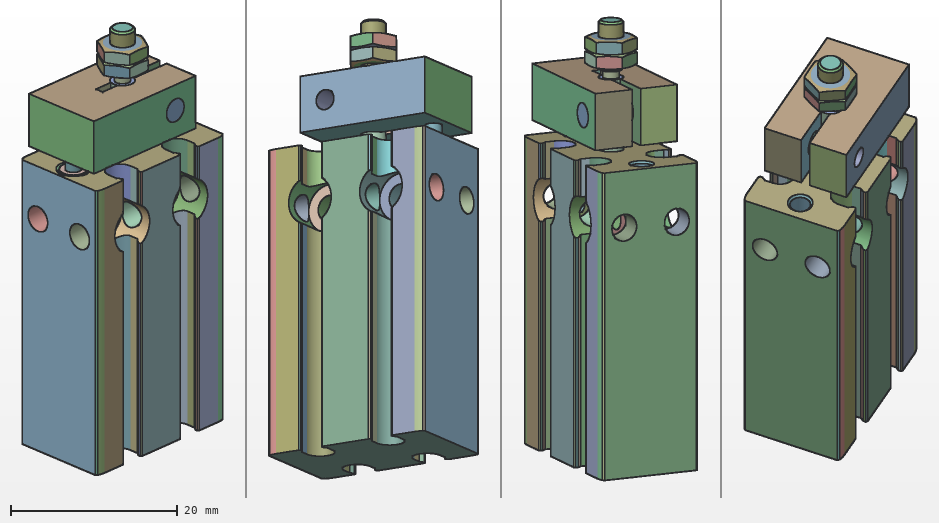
import cadquery as cq
import math

housing_width = 13.0
housing_length = 22.0
housing_height = 38.0
half_width = housing_width / 2
half_length = housing_length / 2
corner_chamfer = 0.2
end_round_length = 1.25
end_round_depth = 0.15

slot_spacing = 9.85
slot_mouth = 3.35
slot_lip_gap = 2.9
slot_diameter = 3.6
slot_lip_chamfer = 0.15
slot_lip_depth = 0.5
slot_lip_end_depth = 0.95
slot_round_depth = 2.15

mount_height = 31.0
mount_hole_diameter = 3.3
side_hole_spacing = 10.0
side_counterbore_diameter = 6.0
side_counterbore_depth = 4.65
end_hole_spacing = 7.0

rod_diameter = 3.0
rod_neck_diameter = 2.0
rod_chamfer = 0.25
rod_depth = 10.8
thread_bottom = 47.85
total_height = 54.0
guide_diameter = 2.0
guide_offset = 8.5
guide_depth = 10.8
guide_engagement = 3.5

groove_mouth_diameter = 4.15
groove_floor_diameter = 3.6
groove_core_diameter = 3.4
groove_depth = 0.3
port_mouth_diameter = 3.0
port_diameter = 2.5
port_depth = 2.7

block_gap = 1.9
block_width = 10.9
block_height = 7.0
block_front = -10.55
block_back = 7.0
block_bottom = housing_height + block_gap
block_top = block_bottom + block_height
slit_width = 1.15
slit_front = -4.0

screw_diameter = 3.0
screw_core_diameter = 2.5
screw_y = 3.5
screw_z = block_bottom + 3.6
screw_end_x = -1.6

nut_count = 2
nut_width = 5.5
nut_height = 1.8
nut_face_diameter = 4.75
nut_chamfer_height = 0.2
nuts_bottom = 48.45


def cylinder_x(diameter, start_x, end_x, y, z):
    """A cylinder along X."""
    circle = cq.Workplane("YZ", origin=(start_x, y, z)).circle(diameter / 2)
    return circle.extrude(end_x - start_x)


def cylinder_y(diameter, x, z):
    """A cylinder along Y that is as long as the housing."""
    circle = cq.Workplane("XZ", origin=(x, half_length, z)).circle(diameter / 2)
    return circle.extrude(housing_length)


def cylinder_z(diameter, bottom, top, y=0.0):
    """A cylinder along Z."""
    return cq.Workplane("XY", origin=(0, y, bottom)).circle(diameter / 2).extrude(top - bottom)


def housing_blank():
    """The outer prism, with curved ends of the side faces and small corner chamfers."""
    straight_y = half_length - end_round_length
    corner_x = half_width - end_round_depth
    corner_y = half_length - corner_chamfer
    quarter = (
        cq.Workplane("XY")
        .lineTo(half_width, 0)
        .lineTo(half_width, straight_y)
        .tangentArcPoint((corner_x, corner_y), relative=False)
        .lineTo(corner_x - corner_chamfer, half_length)
        .lineTo(0, half_length)
        .close()
        .extrude(housing_height)
    )
    half = quarter.union(quarter.mirror("YZ"))
    return half.union(half.mirror("XZ")).clean()


def sensor_slot(side, y):
    """One slot with lips and a round bottom; side is -1 or +1 for the -X or +X face."""
    def place(depth, offset):
        return (side * (half_width - depth), y + offset)

    radius = slot_diameter / 2
    profile = (
        cq.Workplane("XY")
        .moveTo(*place(0, -slot_mouth / 2))
        .lineTo(*place(slot_lip_chamfer, -slot_lip_gap / 2))
        .lineTo(*place(slot_lip_depth, -slot_lip_gap / 2))
        .lineTo(*place(slot_lip_end_depth, -radius))
        .lineTo(*place(slot_round_depth, -radius))
        .threePointArc(place(slot_round_depth + radius, 0), place(slot_round_depth, radius))
        .lineTo(*place(slot_lip_end_depth, radius))
        .lineTo(*place(slot_lip_depth, slot_lip_gap / 2))
        .lineTo(*place(slot_lip_chamfer, slot_lip_gap / 2))
        .lineTo(*place(0, slot_mouth / 2))
        .close()
    )
    return profile.extrude(housing_height)


def countersunk_hole(mouth_diameter, diameter, depth, y):
    """A blind hole in the top of the housing with a 45 degree countersink."""
    mouth_radius = mouth_diameter / 2
    radius = diameter / 2
    profile = (
        cq.Workplane("XZ", origin=(0, y, housing_height))
        .lineTo(mouth_radius, 0)
        .lineTo(radius, radius - mouth_radius)
        .lineTo(radius, -depth)
        .lineTo(0, -depth)
        .close()
    )
    return profile.revolve(360, (0, 0), (0, 1))


def guide_groove():
    """The ring groove around the guide rod, which leaves a flush collar inside it."""
    hole = countersunk_hole(groove_mouth_diameter, groove_floor_diameter, groove_depth, -guide_offset)
    core_bottom = housing_height - groove_depth
    return hole.cut(cylinder_z(groove_core_diameter, core_bottom, housing_height, -guide_offset))


def make_housing():
    body = housing_blank()
    for side in (-1, 1):
        for y in (-slot_spacing / 2, slot_spacing / 2):
            body = body.cut(sensor_slot(side, y))
        body = body.cut(cylinder_y(mount_hole_diameter, side * end_hole_spacing / 2, mount_height))
    for y in (-side_hole_spacing / 2, side_hole_spacing / 2):
        body = body.cut(cylinder_x(mount_hole_diameter, -half_width, half_width, y, mount_height))
        for side in (-1, 1):
            floor_x = side * (half_width - side_counterbore_depth)
            body = body.cut(
                cylinder_x(side_counterbore_diameter, floor_x, side * half_width, y, mount_height)
            )
    body = body.cut(guide_groove())
    body = body.cut(countersunk_hole(port_mouth_diameter, port_diameter, port_depth, guide_offset))
    body = body.cut(cylinder_z(rod_diameter, housing_height - rod_depth, housing_height))
    guide_bottom = housing_height - guide_depth
    return body.cut(cylinder_z(guide_diameter, guide_bottom, housing_height, -guide_offset))


def make_clamp_block():
    body = cq.Workplane("XY").box(
        block_width, block_back - block_front, block_height, centered=(True, False, False)
    ).translate((0, block_front, block_bottom))
    slit = cq.Workplane("XY").box(
        slit_width, block_back - slit_front, block_height, centered=(True, False, False)
    ).translate((0, slit_front, block_bottom))
    body = body.cut(slit)
    body = body.cut(cylinder_z(rod_diameter, block_bottom, block_top))
    guide_top = block_bottom + guide_engagement
    body = body.cut(cylinder_z(guide_diameter, block_bottom, guide_top, -guide_offset))
    body = body.cut(cylinder_x(screw_core_diameter, -block_width / 2, screw_end_x, screw_y, screw_z))
    return body.cut(cylinder_x(screw_diameter, screw_end_x, block_width / 2, screw_y, screw_z))


def make_rod():
    shank = cylinder_z(rod_diameter, housing_height - rod_depth, block_top)
    neck = cylinder_z(rod_neck_diameter, block_top, thread_bottom)
    thread = cylinder_z(rod_diameter, thread_bottom, total_height).faces("<Z or >Z").chamfer(rod_chamfer)
    return shank.union(neck).union(thread)


def make_guide_rod():
    return cylinder_z(
        guide_diameter, housing_height - guide_depth, block_bottom + guide_engagement, -guide_offset
    )


def make_clamp_screw():
    return cylinder_x(screw_diameter, screw_end_x, block_width / 2, screw_y, screw_z)


def make_nut(bottom):
    """A hexagon nut with corners on the Y axis, its corners bevelled at both faces."""
    corner_diameter = nut_width / math.cos(math.pi / 6)
    hexagon = cq.Workplane("XY").polygon(6, corner_diameter).extrude(nut_height)
    hexagon = hexagon.rotate((0, 0, 0), (0, 0, 1), 90)
    bevel = (
        cq.Workplane("XZ")
        .moveTo(0, 0)
        .lineTo(nut_face_diameter / 2, 0)
        .lineTo(corner_diameter / 2, nut_chamfer_height)
        .lineTo(corner_diameter / 2, nut_height - nut_chamfer_height)
        .lineTo(nut_face_diameter / 2, nut_height)
        .lineTo(0, nut_height)
        .close()
        .revolve(360, (0, 0), (0, 1))
    )
    nut = hexagon.intersect(bevel).cut(cylinder_z(rod_diameter, 0, nut_height))
    return nut.translate((0, 0, bottom))


housing = make_housing()
clamp_block = make_clamp_block()
rod = make_rod()
guide_rod = make_guide_rod()
clamp_screw = make_clamp_screw()
nuts = [make_nut(nuts_bottom + i * nut_height) for i in range(nut_count)]

bodies = [housing, clamp_block, rod, guide_rod, clamp_screw] + nuts
result = cq.Compound.makeCompound([body.solids().val() for body in bodies])